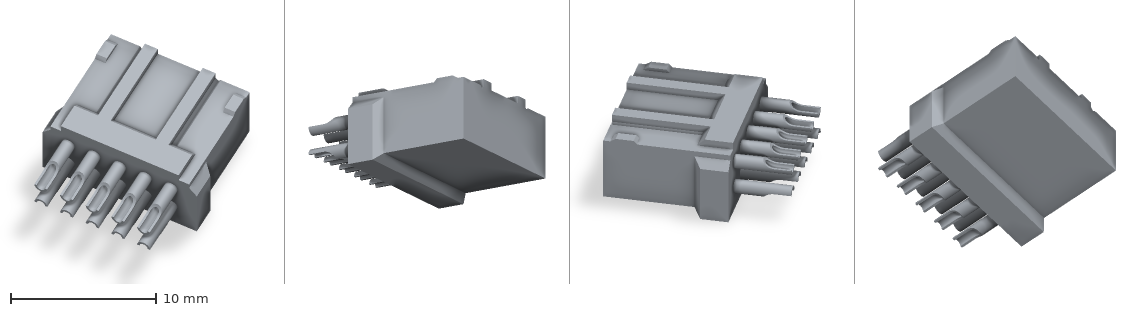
import cadquery as cq
import math

housing_width = 10.8
housing_length = 9.0
housing_height = 5.0
rail_height = 0.54
flange_drop = 0.54
overall_height = flange_drop + housing_height
deck_z = overall_height - rail_height

flange_width = 12.0
flange_length = 2.0
flange_slope_length = 0.54
flange_root_length = flange_length + flange_slope_length
flange_overhang = (flange_width - housing_width) / 2
flange_shoulder_z = 4.0
flange_top_z = flange_shoulder_z + flange_overhang

crossbar_width = 9.16
crossbar_length = 2.0
rib_width = 1.0
rib_spacing = 4.5

groove_width = 0.4
groove_depth = groove_width / 2

latch_height = 0.25
latch_width = (housing_width - crossbar_width) / 2
latch_start = 0.5
latch_crest_start = 0.88
latch_crest_end = 2.15
latch_end = latch_crest_end + latch_height

pin_columns = 5
pin_pitch = 2.0
lower_row_z = 1.77
upper_row_z = lower_row_z + pin_pitch
pin_diameter = 1.0
pin_radius = pin_diameter / 2
pin_length = 4.1
cup_bore_diameter = 0.65
cup_flat_length = 1.2
cup_runout_radius = 1.0
runout_length = math.sqrt(cup_runout_radius**2 - (cup_runout_radius - pin_radius) ** 2)
cup_opening_length = cup_flat_length + runout_length
cup_bore_depth = 3.0


def box(x_start, x_end, y_start, y_end, z_start, z_end):
    """Axis-aligned block between the given limits."""
    size = (x_end - x_start, y_end - y_start, z_end - z_start)
    return cq.Workplane("XY").box(*size, centered=False).translate((x_start, y_start, z_start))


def side_profile(points, width, center_x=0.0):
    """Extrude a (Y, Z) outline to the given width, centred on center_x."""
    outline = cq.Workplane("YZ").polyline(points).close()
    return outline.extrude(width / 2, both=True).translate((center_x, 0, 0))


def make_housing():
    half_width = housing_width / 2
    return box(-half_width, half_width, 0, housing_length, flange_drop, deck_z)


def make_flange():
    half_width = flange_width / 2
    half_root = housing_width / 2
    end_outline = [
        (-half_width, 0),
        (half_width, 0),
        (half_width, flange_shoulder_z),
        (half_root, flange_top_z),
        (-half_root, flange_top_z),
        (-half_width, flange_shoulder_z),
    ]
    block = cq.Workplane("XZ").polyline(end_outline).close().extrude(-flange_root_length)

    plan_outline = [
        (-half_width, 0),
        (half_width, 0),
        (half_width, flange_length),
        (half_root, flange_root_length),
        (-half_root, flange_root_length),
        (-half_width, flange_length),
    ]
    side_slopes = cq.Workplane("XY").polyline(plan_outline).close().extrude(overall_height)

    profile = [
        (0, 0),
        (flange_length, 0),
        (flange_root_length, flange_drop),
        (flange_root_length, flange_top_z),
        (0, flange_top_z),
    ]
    underside_slope = side_profile(profile, flange_width)
    return block.intersect(side_slopes).intersect(underside_slope)


def make_crossbar():
    base_z = deck_z - groove_depth
    base_length = crossbar_length + overall_height - base_z
    profile = [
        (0, base_z),
        (base_length, base_z),
        (crossbar_length, overall_height),
        (0, overall_height),
    ]
    return side_profile(profile, crossbar_width)


def make_rib(center_x):
    half_width = rib_width / 2
    return box(center_x - half_width, center_x + half_width, 0, housing_length, deck_z, overall_height)


def make_groove(left_x):
    outline = [
        (left_x, deck_z),
        (left_x + groove_width, deck_z),
        (left_x + groove_width / 2, deck_z - groove_depth),
    ]
    return cq.Workplane("XZ").polyline(outline).close().extrude(-housing_length)


def make_latch(side):
    profile = [
        (housing_length - latch_start, deck_z),
        (housing_length - latch_crest_start, deck_z + latch_height),
        (housing_length - latch_crest_end, deck_z + latch_height),
        (housing_length - latch_end, deck_z),
    ]
    return side_profile(profile, latch_width, side * (housing_width - latch_width) / 2)


def make_pin():
    """Contact along Y at X = Z = 0, with its solder cup open towards +Z."""
    pin = cq.Workplane("XZ").circle(pin_radius).extrude(pin_length)
    bore = cq.Workplane("XZ", origin=(0, -pin_length, 0)).circle(cup_bore_diameter / 2).extrude(-cup_bore_depth)

    tip_y = -pin_length
    runout_start_y = tip_y + cup_flat_length
    runout_end_y = tip_y + cup_opening_length
    half_angle = math.asin(runout_length / cup_runout_radius) / 2
    runout_middle = (
        runout_start_y + cup_runout_radius * math.sin(half_angle),
        cup_runout_radius * (1 - math.cos(half_angle)),
    )
    opening = (
        cq.Workplane("YZ")
        .moveTo(tip_y, 0)
        .lineTo(runout_start_y, 0)
        .threePointArc(runout_middle, (runout_end_y, pin_radius))
        .lineTo(tip_y, pin_radius)
        .close()
        .extrude(pin_radius, both=True)
    )
    return pin.cut(bore).cut(opening)


rib_x = rib_spacing / 2
rib_outer_x = rib_x + rib_width / 2

result = make_housing()
for groove_x in (-rib_outer_x - groove_width, rib_outer_x):
    result = result.cut(make_groove(groove_x))
result = result.union(make_flange()).union(make_crossbar())
for side in (-1, 1):
    result = result.union(make_rib(side * rib_x)).union(make_latch(side))

upper_pin = make_pin()
lower_pin = upper_pin.mirror("XY")
for column in range(pin_columns):
    pin_x = (column - (pin_columns - 1) / 2) * pin_pitch
    result = result.union(upper_pin.translate((pin_x, 0, upper_row_z)))
    result = result.union(lower_pin.translate((pin_x, 0, lower_row_z)))